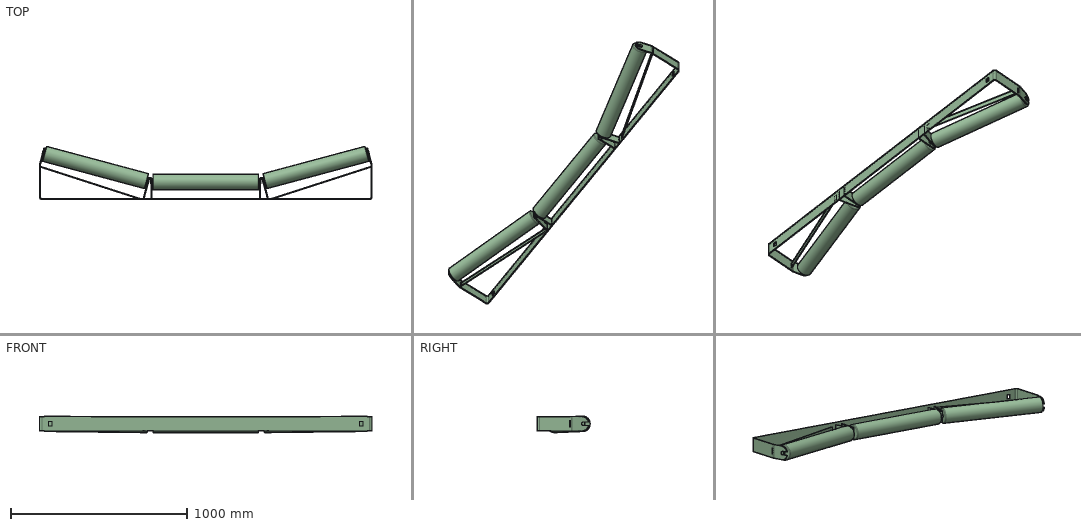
import cadquery as cq
import math

FRAME_LENGTH = 1890.0
HALF_LENGTH = FRAME_LENGTH / 2
OVERALL_WIDTH = 301.35
OVERALL_HEIGHT = 95.82

TROUGH_ANGLE = math.radians(15.0)
COS_TROUGH = math.cos(TROUGH_ANGLE)
SIN_TROUGH = math.sin(TROUGH_ANGLE)

BAR_THICKNESS = 6.0
BAR_WIDTH = 80.0
BAR_MID_Z = BAR_WIDTH / 2
OUTER_BEND_RADIUS = 14.0
INNER_BEND_RADIUS = OUTER_BEND_RADIUS - BAR_THICKNESS
TONGUE_BEND_Y = 197.0
TIP_DROP = 7.0
MOUNT_HOLE_LENGTH = 18.0
MOUNT_HOLE_HEIGHT = 24.0
MOUNT_HOLE_END_DISTANCE = 62.0

ROLLER_DIAMETER = 89.0
ROLLER_RADIUS = ROLLER_DIAMETER / 2
ROLLER_LENGTH = 600.0
ROLLER_EDGE_FILLET = 3.0
SHAFT_DIAMETER = 20.0
SHAFT_LENGTH = 626.0
SLOT_LENGTH = 2 * SHAFT_LENGTH

AXIS_DROP = OVERALL_HEIGHT - ROLLER_DIAMETER
CENTER_ROLLER_Y = 99.0
CENTER_POINT = cq.Vector(0, CENTER_ROLLER_Y, BAR_MID_Z - AXIS_DROP)
CENTER_AXIS = cq.Vector(1, 0, 0)

SIDE_ROLLER_X = 626.0
ROLLER_STRAIGHT_LENGTH = ROLLER_LENGTH - 2 * ROLLER_EDGE_FILLET
DROP_ANGLE = math.asin(AXIS_DROP / ROLLER_STRAIGHT_LENGTH)
SIDE_AXIS = cq.Vector(
    COS_TROUGH * math.cos(DROP_ANGLE),
    SIN_TROUGH * math.cos(DROP_ANGLE),
    math.sin(DROP_ANGLE),
)
EDGE_RISE = ROLLER_STRAIGHT_LENGTH / 2 * SIN_TROUGH
EDGE_OFFSET = (ROLLER_RADIUS - ROLLER_EDGE_FILLET) * COS_TROUGH
SIDE_POINT = cq.Vector(
    SIDE_ROLLER_X,
    OVERALL_WIDTH - EDGE_RISE - EDGE_OFFSET - ROLLER_EDGE_FILLET,
    BAR_MID_Z - AXIS_DROP / 2,
)

BRACKET_THICKNESS = 6.0
BRACKET_WIDTH = 66.0
BRACKET_TOP_Y = 125.0
BRACKET_UPRIGHT_X = 306.0
BRACKET_OUTER_RADIUS = 10.0
BRACKET_INNER_RADIUS = BRACKET_OUTER_RADIUS - BRACKET_THICKNESS

BRACE_THICKNESS = 5.0
BRACE_WIDTH = 35.0
BRACE_TOP_Y = 190.0
BRACE_FOOT_X = 375.0


def mirrored(body):
    return body.mirror("YZ")


def centered_cylinder(center, axis, diameter, length):
    start = center - axis * (length / 2)
    return cq.Workplane(cq.Plane(origin=start, normal=axis)).circle(diameter / 2).extrude(length)


def roller(center, axis):
    """A drum with rounded edges and a shaft standing out at both ends."""
    drum = centered_cylinder(center, axis, ROLLER_DIAMETER, ROLLER_LENGTH)
    drum = drum.edges("%CIRCLE").fillet(ROLLER_EDGE_FILLET)
    return drum.union(centered_cylinder(center, axis, SHAFT_DIAMETER, SHAFT_LENGTH))


def shaft_slot(center, axis):
    """The space that a shaft sweeps as it drops into its seat from the open +Y side."""
    seat = centered_cylinder(center, axis, SHAFT_DIAMETER, SLOT_LENGTH)
    open_direction = cq.Vector(-axis.y, axis.x, 0)
    plane = cq.Plane(origin=center, xDir=open_direction, normal=axis)
    throat = (
        cq.Workplane(plane)
        .center(ROLLER_RADIUS, 0)
        .rect(ROLLER_DIAMETER, SHAFT_DIAMETER)
        .extrude(SLOT_LENGTH / 2, both=True)
    )
    return seat.union(throat)


def right_brace():
    """A sloping strip with its foot on the base and its top end flush in the arm."""
    run = HALF_LENGTH - BRACE_FOOT_X
    slope = math.atan2(BRACE_TOP_Y - BAR_THICKNESS, run)
    foot_length = BRACE_THICKNESS / math.sin(slope)
    end_height = BRACE_THICKNESS / math.cos(slope)
    return (
        cq.Workplane("XY", origin=(0, 0, BAR_MID_Z))
        .moveTo(BRACE_FOOT_X, BAR_THICKNESS)
        .lineTo(BRACE_FOOT_X + foot_length, BAR_THICKNESS)
        .lineTo(HALF_LENGTH, BRACE_TOP_Y - end_height)
        .lineTo(HALF_LENGTH, BRACE_TOP_Y)
        .close()
        .extrude(BRACE_WIDTH / 2, both=True)
    )


def right_bracket(side_slot):
    """A folded strip: one upright leg and one leg square to the side roller."""
    fold_x = BRACKET_UPRIGHT_X + BRACKET_OUTER_RADIUS
    fold_y = BRACKET_TOP_Y - BRACKET_OUTER_RADIUS
    foot_y = BAR_THICKNESS

    def leg_top(radius):
        return fold_x + radius * COS_TROUGH, fold_y + radius * SIN_TROUGH

    def leg_foot(radius):
        x, y = leg_top(radius)
        return x + (y - foot_y) * math.tan(TROUGH_ANGLE), foot_y

    strip = (
        cq.Workplane("XY", origin=(0, 0, CENTER_POINT.z))
        .moveTo(BRACKET_UPRIGHT_X, foot_y)
        .lineTo(BRACKET_UPRIGHT_X, fold_y)
        .threePointArc((fold_x, BRACKET_TOP_Y), leg_top(BRACKET_OUTER_RADIUS))
        .lineTo(*leg_foot(BRACKET_OUTER_RADIUS))
        .lineTo(*leg_foot(BRACKET_INNER_RADIUS))
        .lineTo(*leg_top(BRACKET_INNER_RADIUS))
        .threePointArc(
            (fold_x, fold_y + BRACKET_INNER_RADIUS),
            (fold_x - BRACKET_INNER_RADIUS, fold_y),
        )
        .lineTo(BRACKET_UPRIGHT_X + BRACKET_THICKNESS, foot_y)
        .close()
        .extrude(BRACKET_WIDTH / 2, both=True)
    )
    return strip.cut(shaft_slot(CENTER_POINT, CENTER_AXIS)).cut(side_slot)


def right_tongue():
    """The tilted end of the right arm, with a round tip."""
    bend = cq.Vector(HALF_LENGTH, TONGUE_BEND_Y, BAR_MID_Z)
    along = cq.Vector(-SIN_TROUGH, COS_TROUGH, 0)
    outer_face = cq.Plane(origin=bend, xDir=along, normal=(COS_TROUGH, SIN_TROUGH, 0))
    roller_end = SIDE_POINT + SIDE_AXIS * (ROLLER_LENGTH / 2)
    length = (roller_end - bend).dot(along) - TIP_DROP
    return (
        cq.Workplane(outer_face)
        .moveTo(0, -BAR_WIDTH / 2)
        .lineTo(length, -BAR_WIDTH / 2)
        .threePointArc((length + BAR_WIDTH / 2, 0), (length, BAR_WIDTH / 2))
        .lineTo(0, BAR_WIDTH / 2)
        .close()
        .extrude(-BAR_THICKNESS)
    )


def round_bends(bar, points, radius):
    """Fillet the bar's Z edges that stand on the given points."""
    for x, y in points:
        for side in (-1, 1):
            bend_edge = cq.selectors.NearestToPointSelector((side * x, y, BAR_MID_Z))
            bar = bar.edges("|Z").edges(bend_edge).fillet(radius)
    return bar


def frame(brace, side_slot):
    inner_x = HALF_LENGTH - BAR_THICKNESS
    inner_bend_y = TONGUE_BEND_Y - BAR_THICKNESS * math.tan(TROUGH_ANGLE / 2)
    bar = (
        cq.Workplane("XY")
        .moveTo(-HALF_LENGTH, TONGUE_BEND_Y)
        .lineTo(-HALF_LENGTH, 0)
        .lineTo(HALF_LENGTH, 0)
        .lineTo(HALF_LENGTH, TONGUE_BEND_Y)
        .lineTo(inner_x, inner_bend_y)
        .lineTo(inner_x, BAR_THICKNESS)
        .lineTo(-inner_x, BAR_THICKNESS)
        .lineTo(-inner_x, inner_bend_y)
        .close()
        .extrude(BAR_WIDTH)
    )
    tongue = right_tongue()
    bar = bar.union(tongue).union(mirrored(tongue))

    outer_bends = [(HALF_LENGTH, 0), (HALF_LENGTH, TONGUE_BEND_Y)]
    inner_bends = [(inner_x, BAR_THICKNESS), (inner_x, inner_bend_y)]
    bar = round_bends(bar, outer_bends, OUTER_BEND_RADIUS)
    bar = round_bends(bar, inner_bends, INNER_BEND_RADIUS)

    mount_x = HALF_LENGTH - MOUNT_HOLE_END_DISTANCE
    mount_holes = (
        cq.Workplane("XZ", origin=(0, 0, BAR_MID_Z))
        .pushPoints([(-mount_x, 0), (mount_x, 0)])
        .rect(MOUNT_HOLE_LENGTH, MOUNT_HOLE_HEIGHT)
        .extrude(-BAR_THICKNESS)
    )
    bar = bar.cut(mount_holes)
    for opening in (brace, side_slot):
        bar = bar.cut(opening).cut(mirrored(opening))
    return bar


right_slot = shaft_slot(SIDE_POINT, SIDE_AXIS)
brace_body = right_brace()
frame_body = frame(brace_body, right_slot)
center_roller = roller(CENTER_POINT, CENTER_AXIS)

paired_bodies = []
for right_body in (roller(SIDE_POINT, SIDE_AXIS), right_bracket(right_slot), brace_body):
    paired_bodies += [right_body.val(), mirrored(right_body).val()]

result = cq.Compound.makeCompound([frame_body.val(), center_roller.val(), *paired_bodies])